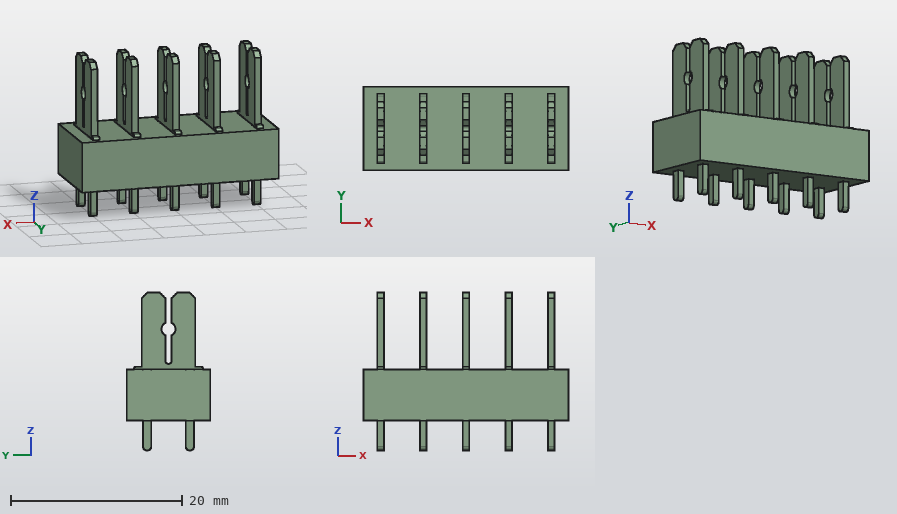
import cadquery as cq

housing_length = 24.0
housing_depth = 9.8
housing_height = 6.0

terminal_count = 5
terminal_pitch = 5.0
terminal_thickness = 0.8

shoulder_width = 8.1
shoulder_height = 0.3
shoulder_radius = 0.25

blade_width = 6.3
blade_height = 9.0
tine_chamfer = 0.7

slot_width = 0.7
slot_bottom = 0.65
eye_diameter = 1.6
eye_height = 4.7

leg_width = 1.0
leg_spacing = 5.0
leg_protrusion = 3.5


def flat_block(width, bottom, top):
    """Block as thick as a terminal, centred in X and Y, between two heights."""
    block = cq.Workplane("XY").box(terminal_thickness, width, top - bottom, centered=(True, True, False))
    return block.translate((0, 0, bottom))


def disc(diameter, height):
    """Round disc as thick as a terminal, its axis along X at the given height."""
    face = cq.Workplane("YZ", origin=(-terminal_thickness / 2, 0, height)).circle(diameter / 2)
    return face.extrude(terminal_thickness)


def round_bottomed_strip(width, bottom, top):
    """Upright strip whose lower end is a half circle."""
    arc_height = bottom + width / 2
    return flat_block(width, arc_height, top).union(disc(width, arc_height))


def make_shoulder():
    """Strip on top of the housing with rounded upper ends."""
    shoulder = flat_block(shoulder_width, housing_height, housing_height + shoulder_height)
    return shoulder.edges("|X and >Z").fillet(shoulder_radius)


def make_blade():
    """Upright blade split by a keyhole slot into two chamfered tines."""
    blade_top = housing_height + blade_height
    blade = flat_block(blade_width, housing_height, blade_top)
    slot = round_bottomed_strip(slot_width, housing_height + slot_bottom, blade_top)
    tines = blade.cut(slot).edges("|X and >Z").chamfer(tine_chamfer)
    return tines.cut(disc(eye_diameter, housing_height + eye_height))


def make_terminal():
    """Shoulder, blade and two legs, with the legs running through the housing."""
    terminal = make_shoulder().union(make_blade())
    leg = round_bottomed_strip(leg_width, -leg_protrusion, housing_height)
    for side in (-1, 1):
        terminal = terminal.union(leg.translate((0, side * leg_spacing / 2, 0)))
    return terminal


def make_housing():
    """Plain block with a rectangular through hole for every leg."""
    block = cq.Workplane("XY").box(housing_length, housing_depth, housing_height, centered=(True, True, False))
    leg_holes = (
        cq.Workplane("XY")
        .rarray(terminal_pitch, leg_spacing, terminal_count, 2)
        .rect(terminal_thickness, leg_width)
        .extrude(housing_height)
    )
    return block.cut(leg_holes)


housing = make_housing()

first_terminal_x = -(terminal_count - 1) * terminal_pitch / 2
terminals = []
for index in range(terminal_count):
    terminal_x = first_terminal_x + index * terminal_pitch
    terminals.append(make_terminal().translate((terminal_x, 0, 0)).solids().val())

result = cq.Compound.makeCompound([housing.solids().val(), *terminals])